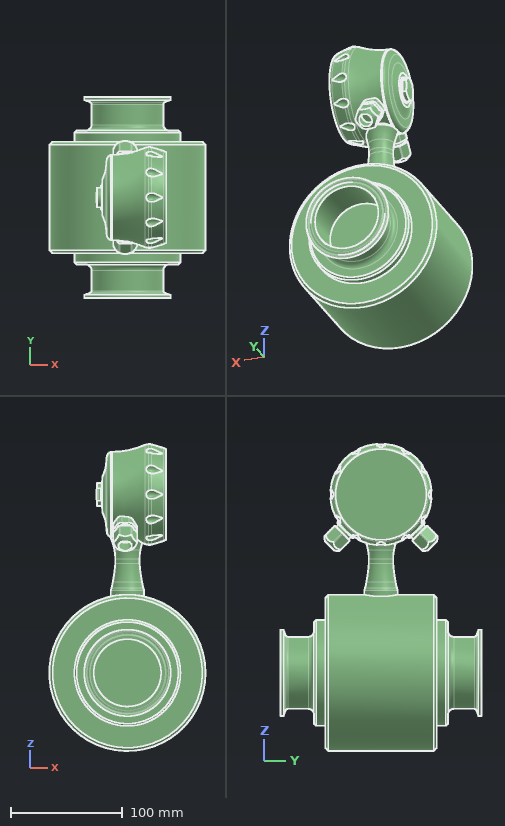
import cadquery as cq
import math

body_radius = 70.0
body_half_length = 50.0
body_chamfer = 3.0
collar_radius = 95.0 / 2
collar_end = 60.0
collar_chamfer = 2.0
pipe_radius = 64.6 / 2
pipe_root_fillet = 5.0
ferrule_radius = 77.5 / 2
ferrule_end = 90.0
ferrule_rim = 2.85
ferrule_slope = 20.0
ferrule_root_fillet = 2.3
ferrule_edge_fillet = 0.5
gasket_groove_radius = 35.3
gasket_groove_section = 1.1
gasket_groove_lip_fillet = 0.5
bore_radius = 60.3 / 2

neck_base_radius = 15.0
neck_radius = 11.0
neck_shoulder_radius = 14.2
neck_flare_radius = 13.2
neck_shoulder_z = 73.8
neck_cone_z = 76.3
neck_flare_z = 81.3
neck_straight_z = 97.8
neck_upper_flare_z = 102.0
neck_waist_z = 109.9
neck_waist_radius = 23.5 / 2
neck_top_z = 122.0
neck_top_radius = 15.5
neck_bury_z = 130.0

head_z = 159.5
rear_hub_x = -22.6
rear_hub_radius = 15.5
rear_cone_x = -19.4
rear_cone_radius = 25.4
rear_cone_hollow = 0.4
rear_rim_x = -18.7
rear_rim_radius = 33.0
seam_x = -14.7
seam_width = 1.0
seam_depth = 0.4
housing_rear_radius = 38.3
housing_front_x = 15.4
housing_front_radius = 44.4
housing_hollow = 1.6
cover_crest_radius = 45.25
cover_crest_start_x = 18.6
cover_crest_end_x = 21.1
cover_crest_bulge = 0.15
cover_taper_end_x = 32.0
cover_taper_radius = 83.7 / 2
cover_face_x = 34.6
cover_face_radius = 81.2 / 2

notch_count = 12
notch_radius = 4.0
notch_start_x = 17.0
notch_start_lift = 1.8
notch_tip_x = 33.5
notch_tip_steepness = 1.5

plug_flange_radius = 23.5 / 2
plug_flange_x = -22.9
plug_step_x = -23.7
plug_radius = 20.8 / 2
plug_face_x = -27.2
plug_tip_x = -28.0
plug_flat_half_width = 8.85
plug_flat_lead_in_x = -26.0
plug_flat_lead_in = 0.5

gland_x = -2.0
gland_angle = 45.0
gland_base_across_flats = 20.0
gland_base_end = 45.6
gland_base_edge_fillet = 4.5
gland_stem_radius = 16.0 / 2
nut_start = 48.8
nut_end = 65.0
nut_across_flats = 19.0
nut_edge_fillet = 1.0
nut_crown_start = 60.0
nut_crown_bulge = 0.5
gland_bore_radius = 12.0 / 2
gland_bore_depth = 10.0
gland_root = 30.0


def revolve_upright(outline):
    return outline.close().revolve(360, (0, 0, 0), (0, 1, 0))


def body():
    drum = cq.Workplane("XZ", origin=(0, body_half_length, 0)).circle(body_radius)
    drum = drum.extrude(2 * body_half_length)
    return drum.edges("%CIRCLE").chamfer(body_chamfer)


def pipe_end():
    """Collar, pipe and clamp ferrule on the +Y end; the bore stops at the body face."""
    slope = math.radians(ferrule_slope)
    collar_fillet_x = pipe_radius + pipe_root_fillet
    collar_fillet_mid = pipe_root_fillet * (1 - math.sqrt(0.5))
    rim_y = ferrule_end - ferrule_rim
    cone_root_y = rim_y - (ferrule_radius - pipe_radius) * math.tan(slope)
    fillet_reach = ferrule_root_fillet * math.tan((math.pi / 2 - slope) / 2)
    fillet_end = (
        pipe_radius + fillet_reach * math.cos(slope),
        cone_root_y + fillet_reach * math.sin(slope),
    )
    lip_reach = gasket_groove_section + gasket_groove_lip_fillet
    lip_half_width = math.sqrt(lip_reach**2 - gasket_groove_lip_fillet**2)
    lip_foot_x = lip_half_width * gasket_groove_section / lip_reach
    lip_foot_y = ferrule_end - gasket_groove_lip_fillet * gasket_groove_section / lip_reach
    outline = (
        cq.Workplane("XY")
        .moveTo(bore_radius, body_half_length)
        .lineTo(collar_radius, body_half_length)
        .lineTo(collar_radius, collar_end - collar_chamfer)
        .lineTo(collar_radius - collar_chamfer, collar_end)
        .lineTo(collar_fillet_x, collar_end)
        .threePointArc(
            (pipe_radius + collar_fillet_mid, collar_end + collar_fillet_mid),
            (pipe_radius, collar_end + pipe_root_fillet),
        )
        .lineTo(pipe_radius, cone_root_y - fillet_reach)
        .tangentArcPoint(fillet_end, relative=False)
        .lineTo(ferrule_radius, rim_y)
        .lineTo(ferrule_radius, ferrule_end - ferrule_edge_fillet)
        .tangentArcPoint((-ferrule_edge_fillet, ferrule_edge_fillet))
        .lineTo(gasket_groove_radius + lip_half_width, ferrule_end)
        .tangentArcPoint((gasket_groove_radius + lip_foot_x, lip_foot_y), relative=False)
        .tangentArcPoint((gasket_groove_radius - lip_foot_x, lip_foot_y), relative=False)
        .tangentArcPoint((gasket_groove_radius - lip_half_width, ferrule_end), relative=False)
        .lineTo(bore_radius, ferrule_end)
        .lineTo(bore_radius, body_half_length)
    )
    return revolve_upright(outline)


def neck():
    outline = (
        cq.Workplane("XZ")
        .lineTo(neck_base_radius, 0)
        .lineTo(neck_base_radius, neck_shoulder_z)
        .lineTo(neck_shoulder_radius, neck_cone_z)
        .lineTo(neck_flare_radius, neck_flare_z)
        .tangentArcPoint((neck_radius, neck_straight_z), relative=False)
        .lineTo(neck_radius, neck_upper_flare_z)
        .tangentArcPoint((neck_waist_radius, neck_waist_z), relative=False)
        .tangentArcPoint((neck_top_radius, neck_top_z), relative=False)
        .lineTo(neck_top_radius, neck_bury_z)
        .lineTo(0, neck_bury_z)
    )
    return revolve_upright(outline)


def revolve_about_head_axis(outline):
    return outline.close().revolve(360, (0, 0, 0), (1, 0, 0)).translate((0, 0, head_z))


def housing():
    seam_end = seam_x + seam_width
    outline = (
        cq.Workplane("XZ")
        .moveTo(rear_hub_x, 0)
        .lineTo(rear_hub_x, rear_hub_radius)
        .sagittaArc((rear_cone_x, rear_cone_radius), -rear_cone_hollow)
        .lineTo(rear_rim_x, rear_rim_radius)
        .tangentArcPoint((seam_x, housing_rear_radius), relative=False)
        .lineTo(seam_x, housing_rear_radius - seam_depth)
        .lineTo(seam_end, housing_rear_radius - seam_depth)
        .lineTo(seam_end, housing_rear_radius)
        .sagittaArc((housing_front_x, housing_front_radius), -housing_hollow)
        .lineTo(cover_crest_start_x, cover_crest_radius)
        .sagittaArc((cover_crest_end_x, cover_crest_radius), cover_crest_bulge)
        .lineTo(cover_taper_end_x, cover_taper_radius)
        .lineTo(cover_face_x, cover_face_radius)
        .lineTo(cover_face_x, 0)
    )
    return revolve_about_head_axis(outline)


def notch(angle):
    """Teardrop cutter, blunt at the crest and pointed at the face, lying along the tapered rim."""
    taper = math.atan2(cover_crest_radius - cover_taper_radius, cover_taper_end_x - cover_crest_end_x)
    length = notch_tip_x - notch_start_x
    teardrop = (
        cq.Workplane("XZ")
        .spline(
            [(notch_radius, notch_radius), (length, 0)],
            tangents=[(0, 1), (length, -notch_tip_steepness * notch_radius)],
            includeCurrent=True,
        )
        .close()
        .revolve(360, (0, 0, 0), (1, 0, 0))
    )
    laid_down = teardrop.rotate((0, 0, 0), (0, 1, 0), math.degrees(taper))
    placed = laid_down.translate((notch_start_x, 0, cover_crest_radius + notch_start_lift))
    return placed.rotate((0, 0, 0), (1, 0, 0), angle).translate((0, 0, head_z))


def plug():
    """Domed screw plug with two flats, standing on a stepped round flange."""
    outline = (
        cq.Workplane("XZ")
        .lineTo(plug_tip_x, 0)
        .lineTo(plug_face_x, plug_radius)
        .lineTo(0, plug_radius)
    )
    tip_half_width = plug_flat_half_width - plug_flat_lead_in
    flats = (
        cq.Workplane("XY")
        .moveTo(0, -plug_flat_half_width)
        .lineTo(0, plug_flat_half_width)
        .lineTo(plug_flat_lead_in_x, plug_flat_half_width)
        .lineTo(plug_tip_x, tip_half_width)
        .lineTo(plug_tip_x, -tip_half_width)
        .lineTo(plug_flat_lead_in_x, -plug_flat_half_width)
        .close()
        .extrude(plug_radius, both=True)
    )
    head = revolve_about_head_axis(outline).intersect(flats.translate((0, 0, head_z)))
    return head.union(plug_disc(plug_radius, plug_step_x)).union(plug_disc(plug_flange_radius, plug_flange_x))


def plug_disc(radius, rear_x):
    disc = cq.Workplane("YZ").workplane(offset=rear_x).circle(radius).extrude(-rear_x)
    return disc.translate((0, 0, head_z))


def cylinder_up(radius, start, end):
    return cq.Workplane("XY").workplane(offset=start).circle(radius).extrude(end - start)


def hexagon_up(across_flats, start, end, edge_fillet):
    corner_diameter = across_flats / math.cos(math.pi / 6)
    prism = cq.Workplane("XY").workplane(offset=start).polygon(6, corner_diameter).extrude(end - start)
    return prism.edges("|Z").fillet(edge_fillet)


def gland(side):
    """Gland on the -Y (side = -1) or +Y (side = 1) lower flank of the head."""
    base = hexagon_up(gland_base_across_flats, gland_root, gland_base_end, gland_base_edge_fillet)
    stem = cylinder_up(gland_stem_radius, gland_root, nut_start)
    nut = hexagon_up(nut_across_flats, nut_start, nut_end, nut_edge_fillet)
    nut_corner_radius = nut_across_flats / 2 / math.cos(math.pi / 6)
    crown = (
        cq.Workplane("XZ")
        .moveTo(0, nut_start)
        .lineTo(nut_corner_radius, nut_start)
        .lineTo(nut_corner_radius, nut_crown_start)
        .sagittaArc((gland_bore_radius, nut_end), -nut_crown_bulge)
        .lineTo(0, nut_end)
    )
    crown = revolve_upright(crown)
    bore = cylinder_up(gland_bore_radius, nut_end - gland_bore_depth, nut_end)
    whole = base.union(stem).union(nut.intersect(crown)).cut(bore)
    tilt = -side * (180 - gland_angle)
    return whole.rotate((0, 0, 0), (1, 0, 0), tilt).translate((gland_x, 0, head_z))


connection = pipe_end()
result = body().union(connection).union(connection.mirror("XZ"))
result = result.union(neck()).union(housing())
for index in range(notch_count):
    result = result.cut(notch(index * 360 / notch_count))
result = result.union(plug())
for side in (-1, 1):
    result = result.union(gland(side))